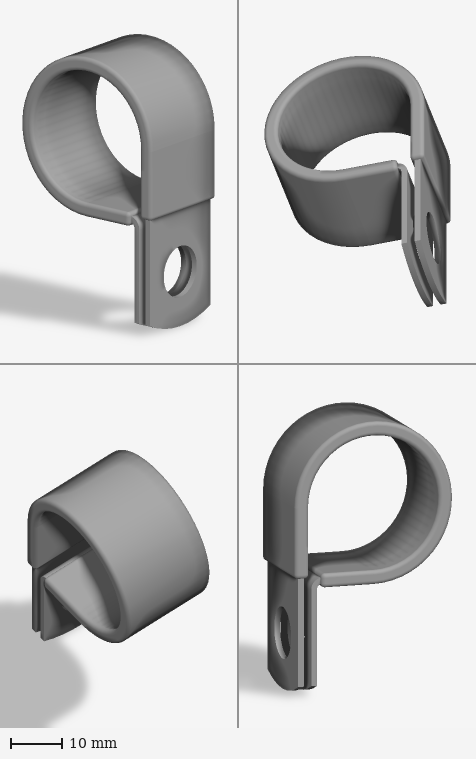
import cadquery as cq
import math

clamp_height = 54.35
loop_diameter = 32.55
cushion_width = 20.65
strip_thickness = 1.2
cover = 0.8
side_leg_length = 14.25
bottom_leg_length = 10.8
bend_inner_radius = 1.2
tab_gap = 1.5
hole_diameter = 10.4
hole_above_tip = 11.2
tip_bulge = 2.2

outer_radius = loop_diameter / 2
inner_radius = outer_radius - strip_thickness - 2 * cover
strip_outer = outer_radius - cover
strip_inner = strip_outer - strip_thickness
strip_width = cushion_width - 2 * cover
tip_z = outer_radius - clamp_height
tab_outer_x = strip_inner - tab_gap
tab_inner_x = tab_outer_x - strip_thickness
bend_outer_radius = bend_inner_radius + strip_thickness
bend_x = tab_outer_x - bend_outer_radius
bend_z = -strip_inner - bend_outer_radius
diagonal = math.sqrt(0.5)


def loop_middle(radius):
    """Middle point of the three-quarter loop, at its upper left."""
    return (-radius * diagonal, radius * diagonal)


def bend_middle(radius):
    """Middle point of the quarter bend into the inner tab."""
    return (bend_x + radius * diagonal, bend_z + radius * diagonal)


def make_cushion():
    body = (
        cq.Workplane("XZ")
        .moveTo(outer_radius, -side_leg_length)
        .lineTo(outer_radius, 0)
        .threePointArc(loop_middle(outer_radius), (0, -outer_radius))
        .lineTo(bottom_leg_length, -outer_radius)
        .lineTo(bottom_leg_length, -inner_radius)
        .lineTo(0, -inner_radius)
        .threePointArc(loop_middle(inner_radius), (inner_radius, 0))
        .lineTo(inner_radius, -side_leg_length)
        .close()
        .extrude(cushion_width / 2, both=True)
    )
    side_end = cq.selectors.BoxSelector(
        (inner_radius - cover, -cover, -side_leg_length - cover),
        (outer_radius + cover, cover, -side_leg_length + cover),
    )
    bottom_end = cq.selectors.BoxSelector(
        (bottom_leg_length - cover, -cover, -outer_radius - cover),
        (bottom_leg_length + cover, cover, -inner_radius + cover),
    )
    rims = body.faces("<Y or >Y").edges()
    return rims.add(body.edges(side_end)).add(body.edges(bottom_end)).fillet(cover)


def make_strip():
    return (
        cq.Workplane("XZ")
        .moveTo(strip_outer, tip_z)
        .lineTo(strip_outer, 0)
        .threePointArc(loop_middle(strip_outer), (0, -strip_outer))
        .lineTo(bend_x, -strip_outer)
        .threePointArc(bend_middle(bend_inner_radius), (tab_inner_x, bend_z))
        .lineTo(tab_inner_x, tip_z)
        .lineTo(tab_outer_x, tip_z)
        .lineTo(tab_outer_x, bend_z)
        .threePointArc(bend_middle(bend_outer_radius), (bend_x, -strip_inner))
        .lineTo(0, -strip_inner)
        .threePointArc(loop_middle(strip_inner), (strip_inner, 0))
        .lineTo(strip_inner, tip_z)
        .close()
        .extrude(strip_width / 2, both=True)
    )


def make_tip_trim():
    """Material outside the curved ends of both tabs."""
    half_width = strip_width / 2
    corner_z = tip_z + tip_bulge
    return (
        cq.Workplane("YZ")
        .moveTo(-half_width, corner_z)
        .threePointArc((0, tip_z), (half_width, corner_z))
        .lineTo(half_width, tip_z)
        .lineTo(-half_width, tip_z)
        .close()
        .extrude(outer_radius)
    )


def make_bolt_hole():
    return (
        cq.Workplane("YZ")
        .center(0, tip_z + hole_above_tip)
        .circle(hole_diameter / 2)
        .extrude(outer_radius)
    )


strip = make_strip().cut(make_tip_trim()).cut(make_bolt_hole())
result = make_cushion().union(strip)